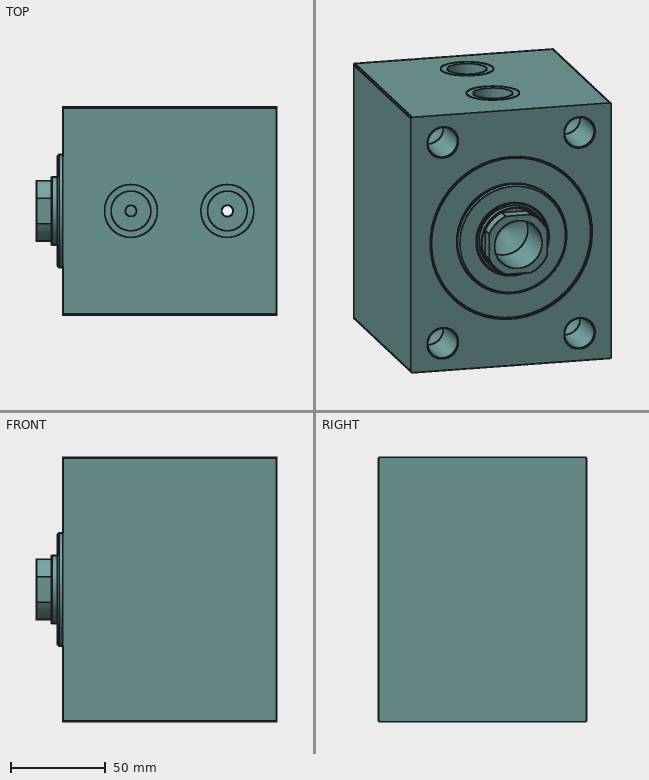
import cadquery as cq
import math

BLOCK_LENGTH = 113.0
BLOCK_WIDTH = 110.0
BLOCK_HEIGHT = 140.0
BLOCK_EDGE_CHAMFER = 0.7

BORE_RADIUS = 43.7
BORE_DEPTH = 49.0
BORE_CHAMFER = 0.8

DRILL_POINT_ANGLE = 118.0
BOLT_SPACING_Y = 75.0
BOLT_SPACING_Z = 110.0
BOLT_RADIUS = 8.1
BOLT_DEPTH = 28.0
BOLT_CHAMFER = 0.4

FRONT_PORT_X = 36.0
BACK_PORT_X = 87.0
PORT_RADIUS = 10.5
PORT_DEPTH = 16.8
SPOT_FACE_RADIUS = 14.0
SPOT_FACE_DEPTH = 0.1
OIL_HOLE_RADIUS = 3.0

BOSS_RADIUS = 30.0
BOSS_HEIGHT = 3.0
BOSS_CHAMFER = 1.0
WIPER_RECESS_RADIUS = 19.5
WIPER_RECESS_DEPTH = 1.4
WIPER_LEDGE_WIDTH = 0.5
WIPER_LEDGE_DEPTH = 0.4

ROD_RADIUS = 18.0
ROD_EDGE_CHAMFER = 0.3
ROD_SHOULDER = 6.0
TIP_REACH = 14.0
TIP_RADIUS = 17.4
TIP_ACROSS_FLATS = 31.9
ROD_HOLE_RADIUS = 13.0
ROD_HOLE_DEPTH = 28.0


def cylinder_x(radius, start, end):
    """Cylinder on the X axis from X = start to X = end."""
    return cq.Workplane("YZ", origin=(start, 0, 0)).circle(radius).extrude(end - start)


def cone_x(start_radius, end_radius, start, end):
    """Cone frustum, or pointed cone if end_radius is 0, on the X axis."""
    solid = cq.Solid.makeCone(
        start_radius, end_radius, end - start, cq.Vector(start, 0, 0), cq.Vector(1, 0, 0)
    )
    return cq.Workplane(solid)


def drilled_hole_x(radius, start, depth):
    """Tool for a blind hole along +X whose drill point starts at the given depth."""
    floor = start + depth
    point_length = radius / math.tan(math.radians(DRILL_POINT_ANGLE / 2))
    return cylinder_x(radius, start, floor).union(cone_x(radius, 0, floor, floor + point_length))


def countersink_x(radius, chamfer):
    """Tool for a 45 degree chamfer on a hole in the plane X = 0."""
    return cone_x(radius + chamfer, radius, 0, chamfer)


def drill_down(block, x, radius, depth):
    """Cut a round flat-bottomed hole from the top face of the block."""
    top = BLOCK_HEIGHT / 2
    tool = cq.Workplane("XY", origin=(x, 0, top)).circle(radius).extrude(-depth)
    return block.cut(tool)


def make_housing():
    block = (
        cq.Workplane("XY")
        .box(BLOCK_LENGTH, BLOCK_WIDTH, BLOCK_HEIGHT, centered=(False, True, True))
        .edges("|X")
        .chamfer(BLOCK_EDGE_CHAMFER)
    )

    bolt_hole = drilled_hole_x(BOLT_RADIUS, 0, BOLT_DEPTH).union(countersink_x(BOLT_RADIUS, BOLT_CHAMFER))
    for y in (-BOLT_SPACING_Y / 2, BOLT_SPACING_Y / 2):
        for z in (-BOLT_SPACING_Z / 2, BOLT_SPACING_Z / 2):
            block = block.cut(bolt_hole.translate((0, y, z)))

    oil_holes = ((FRONT_PORT_X, BLOCK_HEIGHT / 2), (BACK_PORT_X, BLOCK_HEIGHT))
    for x, oil_hole_depth in oil_holes:
        block = drill_down(block, x, SPOT_FACE_RADIUS, SPOT_FACE_DEPTH)
        block = drill_down(block, x, PORT_RADIUS, PORT_DEPTH)
        block = drill_down(block, x, OIL_HOLE_RADIUS, oil_hole_depth)

    block = block.cut(cylinder_x(BORE_RADIUS, 0, BORE_DEPTH))
    return block.cut(countersink_x(BORE_RADIUS, BORE_CHAMFER))


def make_gland():
    plug = cylinder_x(BORE_RADIUS, 0, BORE_DEPTH)
    boss = cylinder_x(BOSS_RADIUS, -BOSS_HEIGHT, 0).faces("<X").chamfer(BOSS_CHAMFER)
    rod_hole = cylinder_x(ROD_RADIUS, -BOSS_HEIGHT, BORE_DEPTH)
    wiper_recess = cylinder_x(WIPER_RECESS_RADIUS, -BOSS_HEIGHT, WIPER_RECESS_DEPTH - BOSS_HEIGHT)
    ledge_radius = WIPER_RECESS_RADIUS + WIPER_LEDGE_WIDTH
    ledge = cylinder_x(ledge_radius, -BOSS_HEIGHT, WIPER_LEDGE_DEPTH - BOSS_HEIGHT)
    return plug.union(boss).cut(rod_hole).cut(wiper_recess).cut(ledge)


def make_rod():
    shaft = cylinder_x(ROD_RADIUS, -ROD_SHOULDER, BORE_DEPTH).faces("<X").chamfer(ROD_EDGE_CHAMFER)
    wrench_square = (
        cq.Workplane("YZ", origin=(-TIP_REACH, 0, 0))
        .rect(TIP_ACROSS_FLATS, TIP_ACROSS_FLATS)
        .extrude(TIP_REACH)
    )
    tip = cylinder_x(TIP_RADIUS, -TIP_REACH, 0).intersect(wrench_square)
    return shaft.union(tip).cut(drilled_hole_x(ROD_HOLE_RADIUS, -TIP_REACH, ROD_HOLE_DEPTH))


housing = make_housing()
gland = make_gland()
rod = make_rod()

result = cq.Compound.makeCompound([housing.val(), gland.val(), rod.val()])